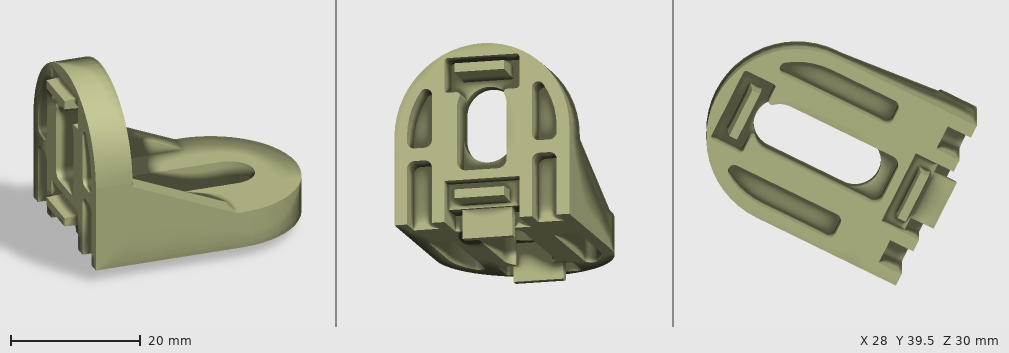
import cadquery as cq
import math


overall_depth = 39.5
width = 28.0
end_radius = width / 2
thickness = 6.0
base_length = 38.0
upright_length = width

slot_radius = 4.0
slot_near_center = end_radius
base_slot_far_center = 27.0
upright_slot_far_center = 18.0

pocket_depth = 4.0
rim = 2.0
side_pocket_width = 4.0
side_pocket_radius = 1.2
closed_pocket_tip_radius = 1.0
open_pocket_length = 10.0
closed_pocket_start = open_pocket_length + rim
tab_pocket_width = 12.0
near_tab_pocket_length = 6.5
near_tab_pocket_depth = 2.5
far_tab_pocket_length = 5.5
far_tab_pocket_radius = 0.5
slot_recess_start = 7.98
slot_recess_radius = 1.5

tab_width = 2 * slot_radius
tab_root_thickness = 2.1
tab_draft = 3.6
near_tab_center = 4.0
far_tab_gap = 2.0
base_tab_projection = 2.0
upright_tab_projection = overall_depth - base_length

gusset_width = 4.0
gusset_length = 23.23
gusset_height = 13.35

outer_x = end_radius - rim
inner_x = outer_x - side_pocket_width


def stand_up(body):
    """Swap Y and Z, turning a flat leg feature into an upright one."""
    return body.rotate((0, 0, 0), (1, 0, 0), 90).mirror("XZ")


def block(x_min, x_max, y_min, y_max, height):
    corner = cq.Workplane("XY", origin=(x_min, y_min, 0))
    return corner.box(x_max - x_min, y_max - y_min, height, centered=False)


def leg_plate(length):
    arc_center = length - end_radius
    return (
        cq.Workplane("XY")
        .moveTo(-end_radius, 0)
        .lineTo(end_radius, 0)
        .lineTo(end_radius, arc_center)
        .threePointArc((0, length), (-end_radius, arc_center))
        .close()
        .extrude(thickness)
    )


def slot(far_center):
    return (
        cq.Workplane("XY")
        .center(0, (slot_near_center + far_center) / 2)
        .slot2D(far_center - slot_near_center + 2 * slot_radius, 2 * slot_radius, 90)
        .extrude(thickness)
    )


def both_sides(body):
    return body.union(body.mirror("YZ"))


def open_pockets():
    """Pair of side pockets that run out through the straight end."""
    pocket = block(inner_x, outer_x, 0, open_pocket_length, pocket_depth)
    return both_sides(pocket.edges("|Z and >Y").fillet(side_pocket_radius))


def closed_pockets(length):
    """Pair of side pockets that follow the round end."""
    arc_center = length - end_radius
    arc_end_angle = math.acos(inner_x / outer_x)
    pocket = (
        cq.Workplane("XY")
        .moveTo(inner_x, closed_pocket_start)
        .lineTo(outer_x, closed_pocket_start)
        .lineTo(outer_x, arc_center)
        .threePointArc(
            (outer_x * math.cos(arc_end_angle / 2), arc_center + outer_x * math.sin(arc_end_angle / 2)),
            (inner_x, arc_center + outer_x * math.sin(arc_end_angle)),
        )
        .close()
        .extrude(pocket_depth)
        .edges("|Z and <Y")
        .fillet(side_pocket_radius)
        .edges("|Z and >Y")
        .fillet(closed_pocket_tip_radius)
    )
    return both_sides(pocket)


def center_pockets(length, far_center):
    """Pockets around both tabs, the far one running into the recess along the slot."""
    half_width = tab_pocket_width / 2
    near_pocket = block(-half_width, half_width, 0, near_tab_pocket_length, near_tab_pocket_depth)

    far_end = length - rim
    far_start = far_end - far_tab_pocket_length
    far_pocket = block(-half_width, half_width, far_start, far_end, pocket_depth)
    far_pocket = far_pocket.edges("|Z").fillet(far_tab_pocket_radius)
    recess = block(-slot_radius, slot_radius, slot_recess_start, far_center, pocket_depth)
    recess = recess.edges("|Z and <Y").fillet(slot_recess_radius)
    recess_end = cq.Workplane("XY").center(0, far_center).circle(slot_radius).extrude(pocket_depth)

    lips = cq.selectors.BoxSelector(
        (-slot_radius, far_start - far_tab_pocket_radius, 0),
        (slot_radius, far_start + far_tab_pocket_radius, pocket_depth),
    )
    slot_pocket = far_pocket.union(recess).union(recess_end)
    slot_pocket = slot_pocket.edges("|Z").edges(lips).fillet(far_tab_pocket_radius)
    return near_pocket.union(slot_pocket)


def tab(center, projection):
    root = tab_root_thickness / 2
    tip = root - (pocket_depth + projection) * math.tan(math.radians(tab_draft))
    return (
        cq.Workplane("YZ")
        .polyline(
            [
                (center - root, pocket_depth),
                (center + root, pocket_depth),
                (center + tip, -projection),
                (center - tip, -projection),
            ]
        )
        .close()
        .extrude(tab_width / 2, both=True)
    )


def leg_cuts(length, far_center):
    return slot(far_center).union(closed_pockets(length)).union(center_pockets(length, far_center))


def leg_tabs(far_center, projection):
    far_tab_center = far_center + slot_radius + far_tab_gap
    return tab(near_tab_center, projection).union(tab(far_tab_center, projection))


def gussets():
    gusset = (
        cq.Workplane("YZ", origin=(end_radius - gusset_width, 0, 0))
        .polyline(
            [
                (0, 0),
                (gusset_length, 0),
                (gusset_length, thickness),
                (thickness, gusset_height),
                (0, gusset_height),
            ]
        )
        .close()
        .extrude(gusset_width)
    )
    return both_sides(gusset)


body = leg_plate(base_length).union(stand_up(leg_plate(upright_length))).union(gussets())
body = body.cut(leg_cuts(base_length, base_slot_far_center))
body = body.cut(stand_up(leg_cuts(upright_length, upright_slot_far_center).union(open_pockets())))
body = body.union(leg_tabs(base_slot_far_center, base_tab_projection))
result = body.union(stand_up(leg_tabs(upright_slot_far_center, upright_tab_projection)))